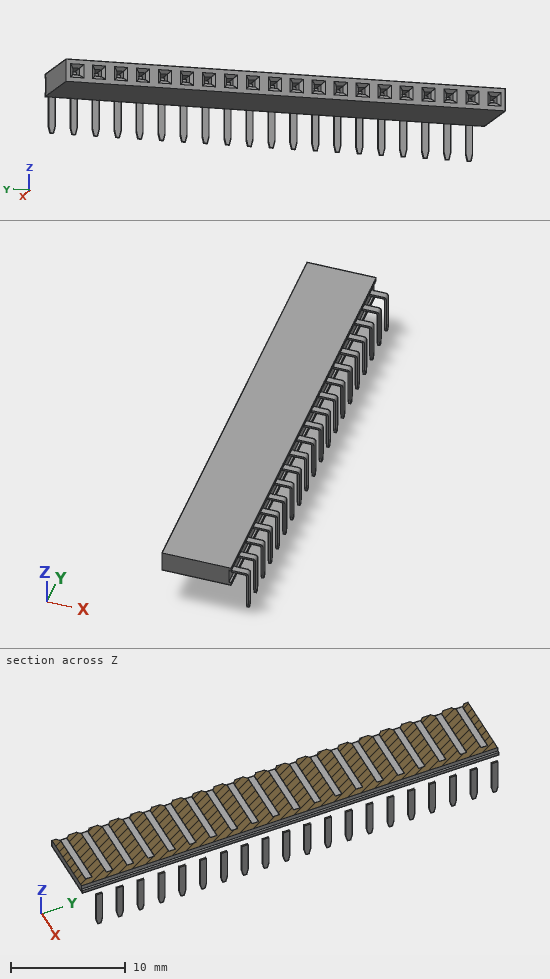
import cadquery as cq

PIN_COUNT = 20
PITCH = 2.0
HOUSING_LENGTH = 6.35
HOUSING_WIDTH = PIN_COUNT * PITCH
HOUSING_HEIGHT = 2.0

GROOVE_DEPTH = 0.2
GROOVE_HEIGHT = 1.35

LEAD_IN_SIZE = 1.2
LEAD_IN_DEPTH = 0.3
HOLE_SIZE = 0.6
HOLE_DEPTH = 5.5

PIN_WIDTH = 0.6
PIN_THICKNESS = 0.2
BEND_INNER_RADIUS = 0.1
BEND_OUTER_RADIUS = BEND_INNER_RADIUS + PIN_THICKNESS
TIP_LENGTH = 0.6
TIP_WIDTH = PIN_WIDTH / 2

TONGUE_START = 1.0
TONGUE_WIDTH = 0.5

OVERALL_LENGTH = 7.72
OVERALL_HEIGHT = 4.9

PIN_BOTTOM = HOUSING_HEIGHT / 2 - OVERALL_HEIGHT
PIN_PLACES = [(i - (PIN_COUNT - 1) / 2) * PITCH for i in range(PIN_COUNT)]


def make_housing():
    """Block with a groove running the whole width of its rear face."""
    block = cq.Workplane("YZ").rect(HOUSING_WIDTH, HOUSING_HEIGHT).extrude(HOUSING_LENGTH)
    groove = (
        cq.Workplane("YZ", origin=(HOUSING_LENGTH - GROOVE_DEPTH, 0, 0))
        .rect(HOUSING_WIDTH, GROOVE_HEIGHT)
        .extrude(GROOVE_DEPTH)
    )
    return block.cut(groove)


def make_socket(y):
    """Cutter for one socket: pyramid lead-in followed by a square hole."""
    lead_in = (
        cq.Workplane("YZ")
        .center(y, 0)
        .rect(LEAD_IN_SIZE, LEAD_IN_SIZE)
        .workplane(offset=LEAD_IN_DEPTH)
        .rect(HOLE_SIZE, HOLE_SIZE)
        .loft(ruled=True)
    )
    hole = (
        cq.Workplane("YZ", origin=(LEAD_IN_DEPTH, y, 0))
        .rect(HOLE_SIZE, HOLE_SIZE)
        .extrude(HOLE_DEPTH - LEAD_IN_DEPTH)
    )
    return lead_in.union(hole)


def make_bent_strip(y):
    """Strip of constant width from the hole floor through the housing and down at the bend."""
    half_thickness = PIN_THICKNESS / 2
    inner_x = OVERALL_LENGTH - PIN_THICKNESS
    strip = (
        cq.Workplane("XZ", origin=(0, y, 0))
        .moveTo(HOLE_DEPTH, half_thickness)
        .lineTo(OVERALL_LENGTH, half_thickness)
        .lineTo(OVERALL_LENGTH, PIN_BOTTOM)
        .lineTo(inner_x, PIN_BOTTOM)
        .lineTo(inner_x, -half_thickness)
        .lineTo(HOLE_DEPTH, -half_thickness)
        .close()
        .extrude(PIN_WIDTH / 2, both=True)
    )
    outer_corner = cq.selectors.NearestToPointSelector((OVERALL_LENGTH, y, half_thickness))
    inner_corner = cq.selectors.NearestToPointSelector((inner_x, y, -half_thickness))
    strip = strip.edges(outer_corner).fillet(BEND_OUTER_RADIUS)
    return strip.edges(inner_corner).fillet(BEND_INNER_RADIUS)


def make_tip_outline(y):
    """Pin outline across Y, narrowed at the bottom, as a prism along the whole of X."""
    shoulder = PIN_BOTTOM + TIP_LENGTH
    pin_top = PIN_THICKNESS / 2
    return (
        cq.Workplane("YZ")
        .moveTo(y - TIP_WIDTH / 2, PIN_BOTTOM)
        .lineTo(y + TIP_WIDTH / 2, PIN_BOTTOM)
        .lineTo(y + PIN_WIDTH / 2, shoulder)
        .lineTo(y + PIN_WIDTH / 2, pin_top)
        .lineTo(y - PIN_WIDTH / 2, pin_top)
        .lineTo(y - PIN_WIDTH / 2, shoulder)
        .close()
        .extrude(OVERALL_LENGTH)
    )


def make_pin(y):
    """One contact pin: the bent strip with its tapered tip, and the tongue in the socket."""
    tongue = (
        cq.Workplane("YZ", origin=(TONGUE_START, y, 0))
        .rect(TONGUE_WIDTH, PIN_THICKNESS)
        .extrude(HOLE_DEPTH - TONGUE_START)
    )
    return make_bent_strip(y).intersect(make_tip_outline(y)).union(tongue)


result = make_housing()
for pin_y in PIN_PLACES:
    result = result.cut(make_socket(pin_y)).union(make_pin(pin_y))